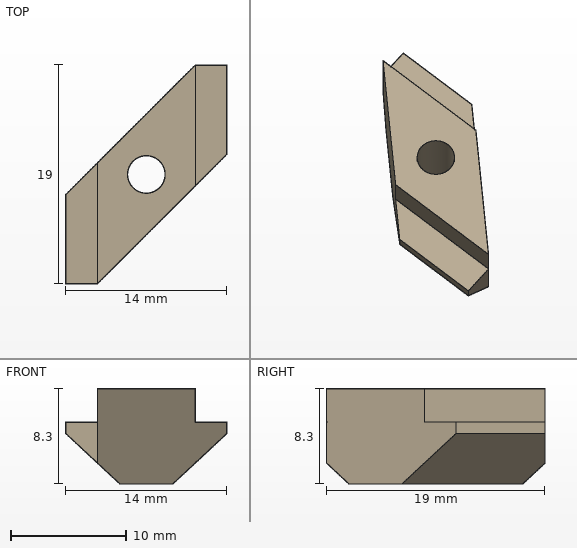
import cadquery as cq

length_x = 14.0
width_y = 19.0
height = 8.3

neck_width = 8.5
neck_height = 2.9
wing_edge_height = 1.0
bottom_width = 4.56

hole_diameter = 3.24

half_length = length_x / 2
half_width = width_y / 2
half_neck = neck_width / 2
half_bottom = bottom_width / 2
wing_top_z = height - neck_height
slope_top_z = wing_top_z - wing_edge_height
side_offset = half_width - half_neck


def make_section_bar():
    """T-shaped section with sloped underside, extruded along Y."""
    return (
        cq.Workplane("XZ")
        .moveTo(-half_bottom, 0)
        .lineTo(half_bottom, 0)
        .lineTo(half_length, slope_top_z)
        .lineTo(half_length, wing_top_z)
        .lineTo(half_neck, wing_top_z)
        .lineTo(half_neck, height)
        .lineTo(-half_neck, height)
        .lineTo(-half_neck, wing_top_z)
        .lineTo(-half_length, wing_top_z)
        .lineTo(-half_length, slope_top_z)
        .close()
        .extrude(half_width, both=True)
    )


def make_plan_prism():
    """Skewed hexagonal plan outline: 45 degree sides and clipped far corners."""
    return (
        cq.Workplane("XY")
        .moveTo(-half_length, -half_width)
        .lineTo(-half_neck, -half_width)
        .lineTo(half_length, half_length - side_offset)
        .lineTo(half_length, half_width)
        .lineTo(half_neck, half_width)
        .lineTo(-half_length, -half_length + side_offset)
        .close()
        .extrude(height)
    )


def make_hole():
    """Plain vertical hole through the full height."""
    return cq.Workplane("XY").circle(hole_diameter / 2).extrude(height)


result = make_section_bar().intersect(make_plan_prism()).cut(make_hole())